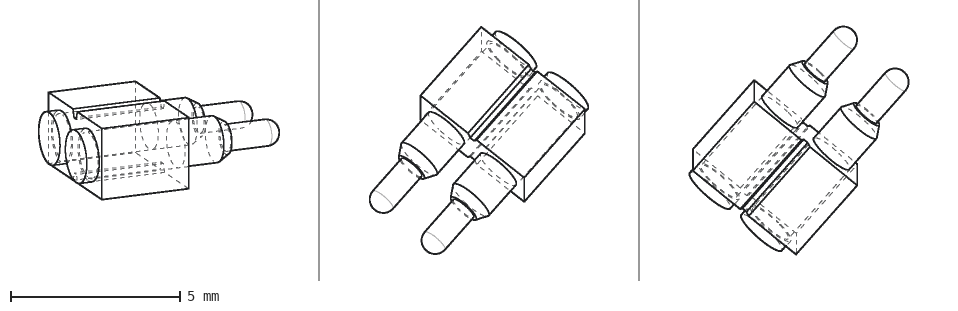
import cadquery as cq
import math

PIN_COUNT = 2
PITCH = 2.0
HOUSING_WIDTH = PIN_COUNT * PITCH
HOUSING_LENGTH = 2.8
HOUSING_HEIGHT = 2.2
GROOVE_MOUTH = 0.33
GROOVE_FLOOR = 0.16
GROOVE_DEPTH = 0.25

TAIL_RADIUS = 0.8
TAIL_LENGTH = 0.4
BARREL_RADIUS = 0.7
BARREL_PROTRUSION = 1.6
NOSE_RADIUS = 0.5
NOSE_ANGLE = 30.0
PLUNGER_RADIUS = 0.4
PLUNGER_PROTRUSION = 1.7
TIP_ROUNDING = 0.38

NOSE_LENGTH = (BARREL_RADIUS - NOSE_RADIUS) / math.tan(math.radians(NOSE_ANGLE))
NOSE_END = HOUSING_LENGTH + BARREL_PROTRUSION
NOSE_START = NOSE_END - NOSE_LENGTH
TIP_END = NOSE_END + PLUNGER_PROTRUSION
TIP_START = TIP_END - TIP_ROUNDING

PIN_POSITIONS = [(i - (PIN_COUNT - 1) / 2) * PITCH for i in range(PIN_COUNT)]


def make_pin(x):
    """One pin, turned about an axis parallel to Y."""
    tip_flat = PLUNGER_RADIUS - TIP_ROUNDING
    arc_middle = (
        tip_flat + TIP_ROUNDING * math.cos(math.radians(45)),
        TIP_START + TIP_ROUNDING * math.sin(math.radians(45)),
    )
    profile = (
        cq.Workplane("XY")
        .moveTo(0, -TAIL_LENGTH)
        .lineTo(TAIL_RADIUS, -TAIL_LENGTH)
        .lineTo(TAIL_RADIUS, 0)
        .lineTo(BARREL_RADIUS, 0)
        .lineTo(BARREL_RADIUS, NOSE_START)
        .lineTo(NOSE_RADIUS, NOSE_END)
        .lineTo(PLUNGER_RADIUS, NOSE_END)
        .lineTo(PLUNGER_RADIUS, TIP_START)
        .threePointArc(arc_middle, (tip_flat, TIP_END))
        .lineTo(0, TIP_END)
        .close()
    )
    return profile.revolve(360, (0, 0), (0, 1)).translate((x, 0, 0))


def make_housing():
    """Grooved block with a through hole for each pin barrel."""
    right, top = HOUSING_WIDTH / 2, HOUSING_HEIGHT / 2
    mouth, floor = GROOVE_MOUTH / 2, GROOVE_FLOOR / 2
    groove_z = top - GROOVE_DEPTH
    outline = [
        (-right, -top),
        (-mouth, -top),
        (-floor, -groove_z),
        (floor, -groove_z),
        (mouth, -top),
        (right, -top),
        (right, top),
        (mouth, top),
        (floor, groove_z),
        (-floor, groove_z),
        (-mouth, top),
        (-right, top),
    ]
    block = cq.Workplane("XZ").polyline(outline).close().extrude(-HOUSING_LENGTH)
    holes = (
        cq.Workplane("XZ")
        .pushPoints([(x, 0) for x in PIN_POSITIONS])
        .circle(BARREL_RADIUS)
        .extrude(-HOUSING_LENGTH)
    )
    return block.cut(holes)


housing = make_housing()
pins = [make_pin(x) for x in PIN_POSITIONS]

result = cq.Compound.makeCompound([housing.val(), *[pin.val() for pin in pins]])